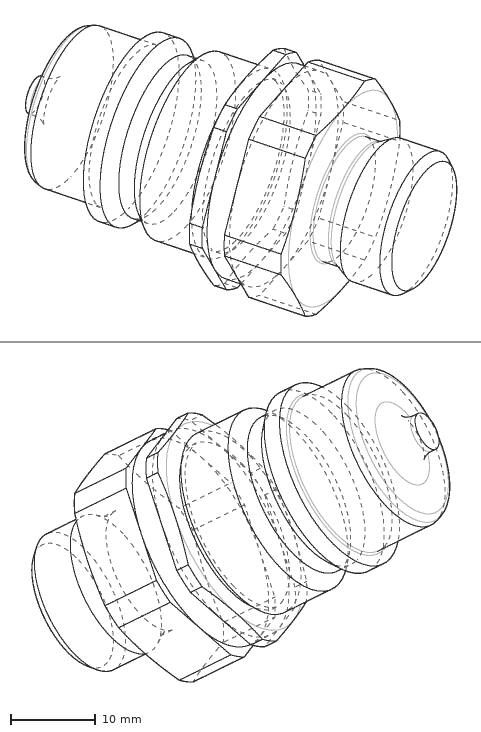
import cadquery as cq
import math


total_length = 52.7

pin_radius = 2.35
pin_straight = 0.7
pin_flare = 3.0

nose_radius = 10.2
nose_edge_round = 0.9
lead_in_length = 0.75
lead_in_angle = math.radians(20)

collar_radius = 11.85
collar_start = 13.0
collar_width = 2.25
groove_floor = 2.1
groove_flank = collar_radius - nose_radius
rear_cylinder_end = 27.65
root_fillet = 0.25

front_neck_radius = 10.85

hex_start = 28.6
hex_end = 41.7
hex_across_flats = 27.0
hex_corner_diameter = 29.5
hex_chamfer_angle = math.radians(15)
band_start = 30.65
band_end = 33.7

undercut_radius = 7.85
undercut_end = 44.0
runout_round = 0.9
runout_angle = math.radians(30)
thread_radius = 9.0
end_chamfer_length = 1.1
end_chamfer_depth = 0.95


def arc_point(center_x, center_r, radius, angle):
    """Point (x, r) on a circle, with the angle measured from the +X direction."""
    return (center_x + radius * math.cos(angle), center_r + radius * math.sin(angle))


def revolve_about_x(profile):
    """Close a half profile that starts and ends on the X axis and spin it."""
    return profile.close().revolve(360, (0, 0, 0), (1, 0, 0))


def make_plug_front():
    """Pin, nose, collar, V-groove, rear cylinder and front neck."""
    nose_face = pin_straight + pin_flare
    flare_end_radius = pin_radius + pin_flare
    flare_middle = arc_point(pin_straight, flare_end_radius, pin_flare, -math.pi / 4)

    round_center_x = nose_face + nose_edge_round
    round_end_angle = math.pi / 2 + lead_in_angle
    round_end_x = round_center_x + nose_edge_round * math.cos(round_end_angle)
    round_end_radius = nose_radius - lead_in_length * math.tan(lead_in_angle)
    round_center_radius = round_end_radius - nose_edge_round * math.sin(round_end_angle)
    round_middle = arc_point(
        round_center_x, round_center_radius, nose_edge_round, (math.pi + round_end_angle) / 2
    )

    collar_end = collar_start + collar_width
    groove_floor_start = collar_end + groove_flank
    groove_floor_end = groove_floor_start + groove_floor
    rear_cylinder_start = groove_floor_end + groove_flank

    collar_fillet_middle = arc_point(
        collar_start - root_fillet, nose_radius + root_fillet, root_fillet, -math.pi / 4
    )
    neck_fillet_middle = arc_point(
        rear_cylinder_end + root_fillet,
        front_neck_radius + root_fillet,
        root_fillet,
        -3 * math.pi / 4,
    )

    profile = (
        cq.Workplane("XY")
        .moveTo(0, 0)
        .lineTo(0, pin_radius)
        .lineTo(pin_straight, pin_radius)
        .threePointArc(flare_middle, (nose_face, flare_end_radius))
        .lineTo(nose_face, round_center_radius)
        .threePointArc(round_middle, (round_end_x, round_end_radius))
        .lineTo(round_end_x + lead_in_length, nose_radius)
        .lineTo(collar_start - root_fillet, nose_radius)
        .threePointArc(collar_fillet_middle, (collar_start, nose_radius + root_fillet))
        .lineTo(collar_start, collar_radius)
        .lineTo(collar_end, collar_radius)
        .lineTo(groove_floor_start, nose_radius)
        .lineTo(groove_floor_end, nose_radius)
        .lineTo(rear_cylinder_start, collar_radius)
        .lineTo(rear_cylinder_end, collar_radius)
        .lineTo(rear_cylinder_end, front_neck_radius + root_fillet)
        .threePointArc(
            neck_fillet_middle, (rear_cylinder_end + root_fillet, front_neck_radius)
        )
        .lineTo(hex_start, front_neck_radius)
        .lineTo(hex_start, 0)
    )
    return revolve_about_x(profile)


def make_hex_section(start, end, chamfer_start, chamfer_end):
    """Hexagonal length with corners turned down and one end face chamfered."""
    flat_radius = hex_across_flats / 2
    corner_radius = hex_corner_diameter / 2
    chamfer_length = (corner_radius - flat_radius) * math.tan(hex_chamfer_angle)
    vertex_diameter = hex_across_flats / math.cos(math.pi / 6)

    prism = (
        cq.Workplane("YZ", origin=(start, 0, 0))
        .polygon(6, vertex_diameter)
        .extrude(end - start)
    )
    turned = cq.Workplane("XY").moveTo(start, 0)
    if chamfer_start:
        turned = turned.lineTo(start, flat_radius).lineTo(start + chamfer_length, corner_radius)
    else:
        turned = turned.lineTo(start, corner_radius)
    if chamfer_end:
        turned = turned.lineTo(end - chamfer_length, corner_radius).lineTo(end, flat_radius)
    else:
        turned = turned.lineTo(end, corner_radius)
    return prism.intersect(revolve_about_x(turned.lineTo(end, 0)))


def make_band():
    """Round band between the two hexagonal lengths, as wide as the flats."""
    return (
        cq.Workplane("YZ", origin=(band_start, 0, 0))
        .circle(hex_across_flats / 2)
        .extrude(band_end - band_start)
    )


def make_threaded_end():
    """Undercut neck, run-out cone and chamfered thread cylinder."""
    fillet_middle = arc_point(
        hex_end + root_fillet, undercut_radius + root_fillet, root_fillet, -3 * math.pi / 4
    )

    round_center_radius = undercut_radius + runout_round
    round_end_angle = runout_angle - math.pi / 2
    round_middle = arc_point(
        undercut_end, round_center_radius, runout_round, (round_end_angle - math.pi / 2) / 2
    )
    round_end = arc_point(undercut_end, round_center_radius, runout_round, round_end_angle)
    cone_length = (thread_radius - round_end[1]) / math.tan(runout_angle)

    profile = (
        cq.Workplane("XY")
        .moveTo(hex_end, 0)
        .lineTo(hex_end, undercut_radius + root_fillet)
        .threePointArc(fillet_middle, (hex_end + root_fillet, undercut_radius))
        .lineTo(undercut_end, undercut_radius)
        .threePointArc(round_middle, round_end)
        .lineTo(round_end[0] + cone_length, thread_radius)
        .lineTo(total_length - end_chamfer_length, thread_radius)
        .lineTo(total_length, thread_radius - end_chamfer_depth)
        .lineTo(total_length, 0)
    )
    return revolve_about_x(profile)


result = (
    make_plug_front()
    .union(make_hex_section(hex_start, band_start, True, False))
    .union(make_band())
    .union(make_hex_section(band_end, hex_end, False, True))
    .union(make_threaded_end())
)